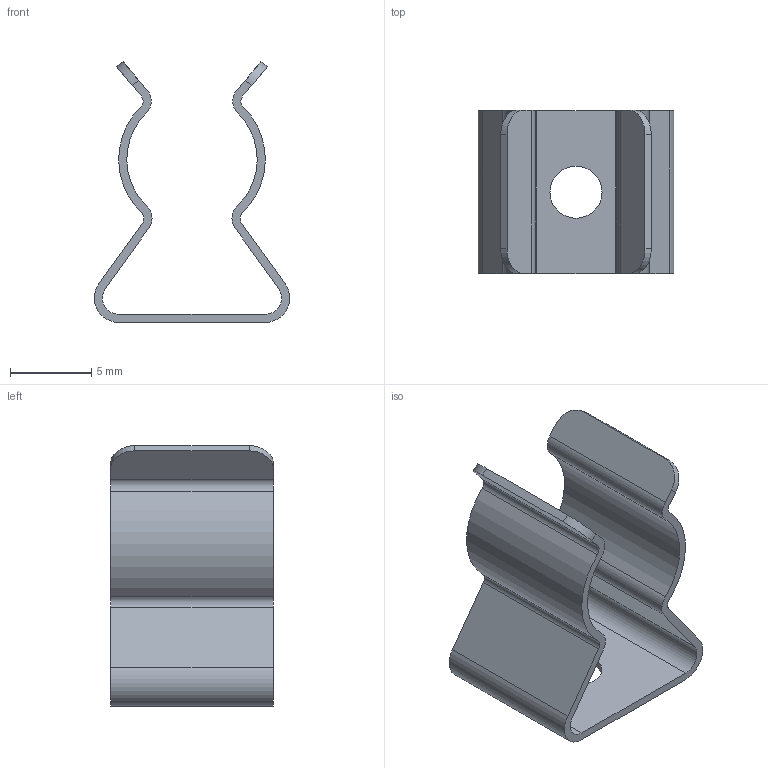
import cadquery as cq
import math

WIDTH = 10.0
BASE_LENGTH = 12.0
HEIGHT = 16.0
THICKNESS = 0.5
BASE_CORNER_RADIUS = 1.5
SEAT_INNER_RADIUS = 4.0
SEAT_CENTER_Z = 10.0
BEND_RADIUS = 0.5
NECK_GAP = 4.9
MOUTH_GAP = 5.0
LIP_ANGLE = 50.0
LIP_CORNER_RADIUS = 1.5
HOLE_DIAMETER = 3.2

SEAT_RADIUS = SEAT_INNER_RADIUS + THICKNESS
SEAT_CENTER = (0.0, SEAT_CENTER_Z)
CORNER_CENTER = (BASE_CORNER_RADIUS - BASE_LENGTH / 2, BASE_CORNER_RADIUS)
SEAT_TO_BEND = SEAT_RADIUS + BEND_RADIUS
NECK_X = -NECK_GAP / 2 - THICKNESS - BEND_RADIUS
MOUTH_X = -MOUTH_GAP / 2 - THICKNESS - BEND_RADIUS
NECK_CENTER = (NECK_X, SEAT_CENTER_Z - math.sqrt(SEAT_TO_BEND**2 - NECK_X**2))
MOUTH_CENTER = (MOUTH_X, SEAT_CENTER_Z + math.sqrt(SEAT_TO_BEND**2 - MOUTH_X**2))

CENTER_DX = NECK_CENTER[0] - CORNER_CENTER[0]
CENTER_DZ = NECK_CENTER[1] - CORNER_CENTER[1]
CENTER_ANGLE = math.degrees(math.atan2(CENTER_DZ, CENTER_DX))
CROSSING_RATIO = (BASE_CORNER_RADIUS + BEND_RADIUS) / math.hypot(CENTER_DX, CENTER_DZ)
LEG_ANGLE = CENTER_ANGLE - math.degrees(math.asin(CROSSING_RATIO))

NECK_JOINT_ANGLE = math.degrees(math.atan2(SEAT_CENTER_Z - NECK_CENTER[1], -NECK_X))
MOUTH_JOINT_ANGLE = math.degrees(math.atan2(MOUTH_CENTER[1] - SEAT_CENTER_Z, -MOUTH_X))
CORNER_SPAN = (270.0, 90.0 + LEG_ANGLE)
NECK_SPAN = (LEG_ANGLE - 90.0, NECK_JOINT_ANGLE)
SEAT_SPAN = (180.0 + NECK_JOINT_ANGLE, 180.0 - MOUTH_JOINT_ANGLE)
MOUTH_SPAN = (-MOUTH_JOINT_ANGLE, 90.0 - LIP_ANGLE)


def polar_point(center, radius, angle):
    """Point at an angle on a circle in the XZ plane."""
    turn = math.radians(angle)
    return (center[0] + radius * math.cos(turn), center[1] + radius * math.sin(turn))


def bends_at_depth(depth):
    """Start, middle and end point of each bend on the surface at a depth below the outer skin."""
    bends = (
        (CORNER_CENTER, BASE_CORNER_RADIUS - depth, CORNER_SPAN),
        (NECK_CENTER, BEND_RADIUS + depth, NECK_SPAN),
        (SEAT_CENTER, SEAT_RADIUS - depth, SEAT_SPAN),
        (MOUTH_CENTER, BEND_RADIUS + depth, MOUTH_SPAN),
    )
    arcs = []
    for center, radius, (start, end) in bends:
        angles = (start, (start + end) / 2, end)
        arcs.append([polar_point(center, radius, angle) for angle in angles])
    return arcs


def lip_tips():
    """Outer and inner end points of the lip; the inner one reaches the full height."""
    lip = math.radians(LIP_ANGLE)
    lip_start = polar_point(MOUTH_CENTER, BEND_RADIUS + THICKNESS, MOUTH_SPAN[1])
    inner_tip = (lip_start[0] - (HEIGHT - lip_start[1]) / math.tan(lip), HEIGHT)
    outer_tip = (inner_tip[0] - THICKNESS * math.sin(lip), HEIGHT - THICKNESS * math.cos(lip))
    return outer_tip, inner_tip


def clip_half():
    """Left half of the bent strip, with its lip corners rounded."""
    outer_tip, inner_tip = lip_tips()
    profile = cq.Workplane("XZ").moveTo(0, 0)
    corner, neck, seat, mouth = bends_at_depth(0.0)
    profile = profile.lineTo(*corner[0]).threePointArc(*corner[1:]).lineTo(*neck[0])
    for _, middle, end in (neck, seat, mouth):
        profile = profile.threePointArc(middle, end)
    profile = profile.lineTo(*outer_tip).lineTo(*inner_tip)
    corner, neck, seat, mouth = bends_at_depth(THICKNESS)
    profile = profile.lineTo(*mouth[2])
    for start, middle, _ in (mouth, seat, neck):
        profile = profile.threePointArc(middle, start)
    profile = profile.lineTo(*corner[2]).threePointArc(corner[1], corner[0])
    half = profile.lineTo(0, THICKNESS).close().extrude(WIDTH / 2, both=True)
    return half.faces(">Z").edges("#Y").fillet(LIP_CORNER_RADIUS)


def mounting_hole():
    """Cutter for the round hole through the middle of the base."""
    return cq.Workplane("XY").circle(HOLE_DIAMETER / 2).extrude(THICKNESS)


left_half = clip_half()
right_half = left_half.mirror("YZ")
result = left_half.union(right_half).clean().cut(mounting_hole())